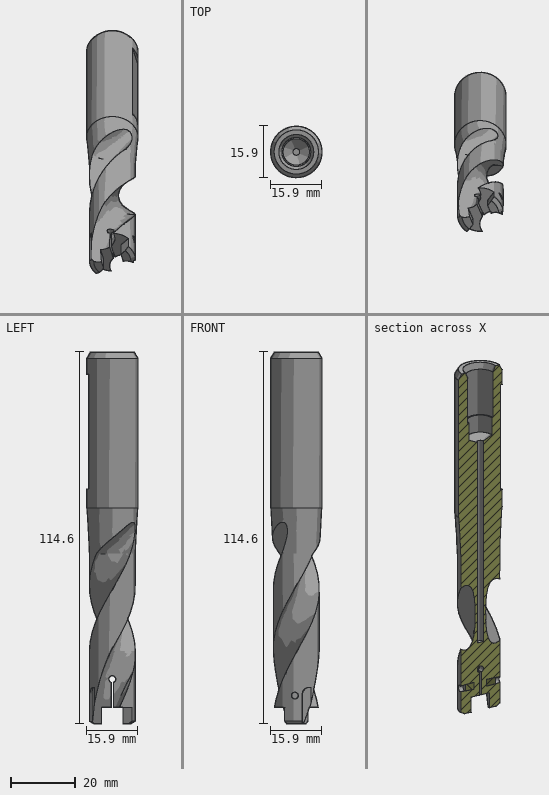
import cadquery as cq
import math

total_length = 114.6
shank_dia = 15.9
shank_bottom = 66.6
shank_edge_height = 0.3
shank_edge_step = 0.1
top_chamfer_width = 1.1
top_chamfer_height = 2.0
flat_depth = 0.7
flat_bottom = 72.4
flat_top = 107.7

bore_dia = 8.1
bore_entry_dia = 8.9
bore_entry_depth = 17.2
bore_depth = 22.9
bore_mouth_dia = 10.8
bore_mouth_depth = 2.0
bore_point_angle = 130.0
coolant_dia = 2.1
coolant_bottom = 22.9

drill_dia = 14.2
neck_bottom = 52.4
tip_chamfer_width = 1.4
tip_chamfer_height = 0.8
helix_angle = 30.0
web_thickness = 3.9
flute_angle = 95.0
flute_front_height = 32.3
lower_flute_top = 22.3
tip_flute_angle = 71.0
tip_flute_turn = -110.0
run_out_top = 62.1
run_out_end_radius = 2.9
run_out_end_offset = 10.4
run_out_end_turn = 146.0

seat_height = 5.0
seat_width = 6.5
prong_face_turn = -31.0
slit_width = 0.6
slit_top = 13.8
relief_dia = 2.1
pocket_edge = 1.7
pocket_floor = 6.3
pocket_floor_tilt = 16.0
pocket_end_radius = 2.3
pocket_top = 11.2

screw_dia = 2.1
screw_height = 8.7
screw_turn = -4.0
screw_inner_end = 2.3
screw_outer_end = 5.5

shank_radius = shank_dia / 2
drill_radius = drill_dia / 2
web_radius = web_thickness / 2
pitch = math.pi * drill_dia / math.tan(math.radians(helix_angle))
half_turns = (0, 180)


def turned(shape, angle):
    return shape.rotate(cq.Vector(0, 0, 0), cq.Vector(0, 0, 1), angle)


def both_sides(shape):
    """The shape and its copy half a turn around the drill axis."""
    return [turned(shape, angle) for angle in half_turns]


def blank():
    """Turned outside of the whole drill."""
    neck_radius = shank_radius - shank_edge_step
    return (
        cq.Workplane("XZ")
        .moveTo(0, 0)
        .lineTo(drill_radius - tip_chamfer_width, 0)
        .lineTo(drill_radius, tip_chamfer_height)
        .lineTo(drill_radius, neck_bottom)
        .lineTo(neck_radius, shank_bottom - shank_edge_height)
        .lineTo(shank_radius, shank_bottom)
        .lineTo(shank_radius, total_length - top_chamfer_height)
        .lineTo(shank_radius - top_chamfer_width, total_length)
        .lineTo(0, total_length)
        .close()
        .revolve(360, (0, 0, 0), (0, 1, 0))
    )


def shank_flat():
    return (
        cq.Workplane("XY")
        .box(shank_dia, shank_dia, flat_top - flat_bottom, centered=(True, False, False))
        .translate((0, shank_radius - flat_depth, flat_bottom))
    )


def coolant_bore():
    """Countersunk, stepped blind bore and the narrow coolant channel below it."""
    bore_radius = bore_dia / 2
    channel_radius = coolant_dia / 2
    bore_bottom = total_length - bore_depth
    point_slope = math.tan(math.radians(90 - bore_point_angle / 2))
    point_depth = (bore_radius - channel_radius) * point_slope
    return (
        cq.Workplane("XZ")
        .moveTo(0, coolant_bottom)
        .lineTo(channel_radius, coolant_bottom)
        .lineTo(channel_radius, bore_bottom - point_depth)
        .lineTo(bore_radius, bore_bottom)
        .lineTo(bore_radius, total_length - bore_entry_depth)
        .lineTo(bore_entry_dia / 2, total_length - bore_entry_depth)
        .lineTo(bore_entry_dia / 2, total_length - bore_mouth_depth)
        .lineTo(bore_mouth_dia / 2, total_length)
        .lineTo(0, total_length)
        .close()
        .revolve(360, (0, 0, 0), (0, 1, 0))
    )


def helix_turn(height):
    """Direction of the first flute in the helical stretch, in degrees from -Y towards +X."""
    return (height - flute_front_height) * 360 / pitch


def groove_radius(opening):
    """Radius of the circle that touches the web and spans `opening` degrees of the drill surface."""
    half_opening = math.radians(opening / 2)
    half_chord = drill_radius * math.sin(half_opening)
    depth = drill_radius * math.cos(half_opening) - web_radius
    return (half_chord**2 + depth**2) / (2 * depth)


main_groove_radius = groove_radius(flute_angle)
main_groove_offset = web_radius + main_groove_radius


def helical_flute():
    height = neck_bottom - lower_flute_top
    groove = (
        cq.Workplane("XY")
        .pushPoints([(0, -main_groove_offset)])
        .circle(main_groove_radius)
        .twistExtrude(height, height * 360 / pitch)
    )
    return turned(groove.translate((0, 0, lower_flute_top)), helix_turn(lower_flute_top))


def groove_circle(radius, offset, turn, height):
    circle = cq.Wire.makeCircle(radius, cq.Vector(0, -offset, height), cq.Vector(0, 0, 1))
    return turned(circle, turn)


def flute_run_out():
    """Above the helix the groove narrows and leaves the neck on a steeper slant."""
    bottom = groove_circle(main_groove_radius, main_groove_offset, helix_turn(neck_bottom), neck_bottom)
    top = groove_circle(run_out_end_radius, run_out_end_offset, run_out_end_turn, run_out_top)
    return cq.Workplane(cq.Solid.makeLoft([bottom, top], True))


def lower_flute():
    """Below the helix the flute narrows and turns more slowly towards the insert seat."""
    stations = 3
    overrun = 1.1
    start_turn = helix_turn(lower_flute_top)
    tip_groove_radius = groove_radius(tip_flute_angle)
    end_share = (lower_flute_top + overrun) / (lower_flute_top - seat_height)
    circles = []
    for station in range(stations):
        share = end_share * (1 - station / (stations - 1))
        turn = start_turn + share * (tip_flute_turn - start_turn)
        radius = main_groove_radius + share * (tip_groove_radius - main_groove_radius)
        height = lower_flute_top - share * (lower_flute_top - seat_height)
        circles.append(groove_circle(radius, web_radius + radius, turn, height))
    return cq.Workplane(cq.Solid.makeLoft(circles))


def insert_slot():
    return cq.Workplane("XY").box(shank_dia, seat_width, seat_height, centered=(True, True, False))


def prong_relief():
    """Clears the drill beside the front prong, up to a radial face on the prong's -X side."""
    angle = math.radians(prong_face_turn)
    reach = shank_dia
    return (
        cq.Workplane("XY")
        .polyline([
            (0, 0),
            (reach * math.sin(angle), -reach * math.cos(angle)),
            (-reach, -reach),
            (-reach, 0),
        ])
        .close()
        .extrude(seat_height)
    )


def clamping_slit():
    """Thin slit above the insert slot, ending in a round relief hole across the web."""
    slit = cq.Workplane("XY").box(shank_dia, slit_width, slit_top, centered=(True, True, False))
    relief_hole = (
        cq.Workplane("YZ", origin=(-shank_radius, 0, slit_top))
        .circle(relief_dia / 2)
        .extrude(shank_dia)
    )
    return slit.union(relief_hole)


def tip_pocket():
    """Shallow round-topped flat on the +X part of the front prong."""
    width = 2 * pocket_end_radius
    straight_height = pocket_top - pocket_end_radius
    outline = (
        cq.Workplane("XZ")
        .moveTo(0, 0)
        .lineTo(0, straight_height)
        .threePointArc((pocket_end_radius, pocket_top), (width, straight_height))
        .lineTo(width, 0)
        .close()
        .extrude(drill_radius)
    )
    return (
        outline.rotate((0, 0, 0), (0, 0, 1), pocket_floor_tilt)
        .translate((pocket_edge, -pocket_floor, 0))
    )


def screw_cylinder(start, end):
    """Stretch of the front clamping screw between two distances from the drill axis."""
    cylinder = (
        cq.Workplane("XZ", origin=(0, -start, screw_height))
        .circle(screw_dia / 2)
        .extrude(end - start)
    )
    return turned(cylinder, screw_turn)


def make_drill():
    body = blank().cut(shank_flat()).cut(coolant_bore())
    for flute_part in (helical_flute(), flute_run_out(), lower_flute()):
        for groove in both_sides(flute_part):
            body = body.cut(groove)
    screw_hole = screw_cylinder(screw_inner_end, shank_radius)
    body = body.cut(insert_slot()).cut(clamping_slit())
    for cutter in (prong_relief(), tip_pocket(), screw_hole):
        for copy in both_sides(cutter):
            body = body.cut(copy)
    return body


def make_clamping_screw():
    return screw_cylinder(screw_inner_end, screw_outer_end)


drill = make_drill()
clamping_screws = both_sides(make_clamping_screw())

result = cq.Compound.makeCompound([
    drill.solids().val(),
    *[screw.val() for screw in clamping_screws],
])